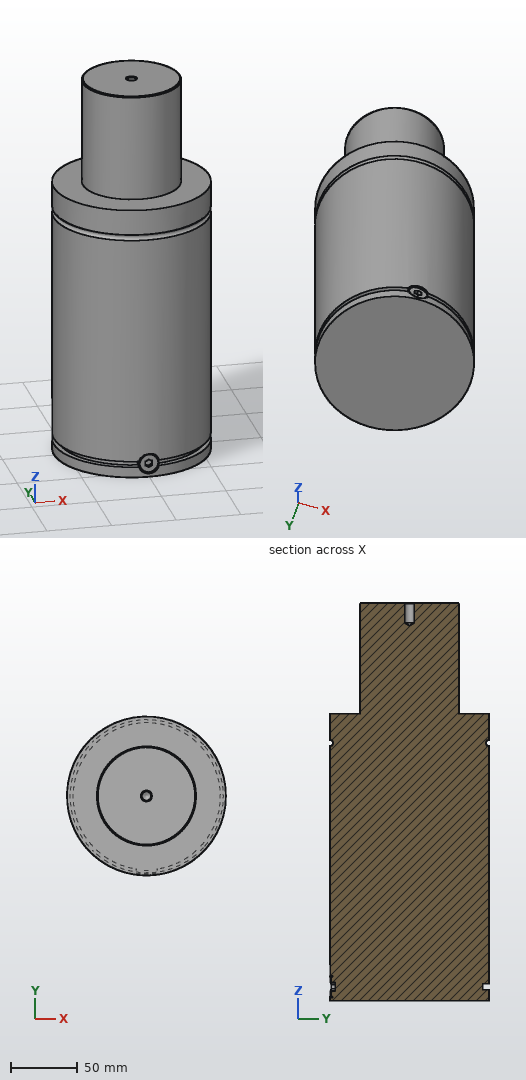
import cadquery as cq
import math

total_height = 300.0
body_diameter = 120.0
body_height = 216.5
rod_diameter = 75.0
rod_chamfer = 1.0

lower_groove_bottom = 8.5
groove_width = 4.5
lower_groove_depth = 4.5
upper_groove_center = 194.5

rod_hole_diameter = 7.0
rod_hole_mouth_diameter = 8.5
rod_hole_depth = 15.0
drill_point_angle = 118.0

plug_diameter = 16.0
plug_face_diameter = 14.0
plug_face_y = -59.0
plug_length = 9.0
plug_socket_across_flats = 5.5
plug_socket_depth = 3.0
plug_center_z = lower_groove_bottom + groove_width / 2

body_radius = body_diameter / 2


def make_body():
    """Cylinder with a square lower groove and a half-round upper groove."""
    groove_floor_radius = body_radius - lower_groove_depth
    lower_groove_top = lower_groove_bottom + groove_width
    round_radius = groove_width / 2
    return (
        cq.Workplane("XZ")
        .moveTo(0, 0)
        .lineTo(body_radius, 0)
        .lineTo(body_radius, lower_groove_bottom)
        .lineTo(groove_floor_radius, lower_groove_bottom)
        .lineTo(groove_floor_radius, lower_groove_top)
        .lineTo(body_radius, lower_groove_top)
        .lineTo(body_radius, upper_groove_center - round_radius)
        .threePointArc(
            (body_radius - round_radius, upper_groove_center),
            (body_radius, upper_groove_center + round_radius),
        )
        .lineTo(body_radius, body_height)
        .lineTo(0, body_height)
        .close()
        .revolve(360, (0, 0, 0), (0, 1, 0))
    )


def make_rod():
    """Piston rod standing on the body, chamfered at its free end."""
    return (
        cq.Workplane("XY", origin=(0, 0, body_height))
        .circle(rod_diameter / 2)
        .extrude(total_height - body_height)
        .faces(">Z")
        .edges()
        .chamfer(rod_chamfer)
    )


def make_rod_hole():
    """Blind hole with a countersunk mouth and a conical drill point."""
    hole_radius = rod_hole_diameter / 2
    mouth_radius = rod_hole_mouth_diameter / 2
    mouth_depth = mouth_radius - hole_radius
    point_depth = hole_radius / math.tan(math.radians(drill_point_angle / 2))
    hole_floor = total_height - rod_hole_depth
    return (
        cq.Workplane("XZ")
        .moveTo(0, total_height)
        .lineTo(mouth_radius, total_height)
        .lineTo(hole_radius, total_height - mouth_depth)
        .lineTo(hole_radius, hole_floor)
        .lineTo(0, hole_floor - point_depth)
        .close()
        .revolve(360, (0, 0, 0), (0, 1, 0))
    )


def plug_cylinder(length, start_y):
    """Cylinder on the plug axis, running from start_y toward +Y."""
    return (
        cq.Workplane("XZ", origin=(0, start_y, plug_center_z))
        .circle(plug_diameter / 2)
        .extrude(-length)
    )


def make_plug_socket():
    """Hexagonal socket in the plug face, with corners at top and bottom."""
    across_corners = plug_socket_across_flats / math.cos(math.pi / 6)
    return (
        cq.Workplane("XZ", origin=(0, plug_face_y, plug_center_z))
        .transformed(rotate=(0, 0, 90))
        .polygon(6, across_corners)
        .extrude(-plug_socket_depth)
    )


def add_plug(part):
    """Seat the chamfered plug, with its hexagonal socket, in a bore of the body."""
    chamfer = (plug_diameter - plug_face_diameter) / 2
    plug = plug_cylinder(plug_length, plug_face_y).faces("<Y").edges().chamfer(chamfer)
    socket = make_plug_socket()
    bore_end = plug_face_y + plug_length
    bore = plug_cylinder(bore_end + body_radius, -body_radius)
    return part.cut(bore).union(plug).cut(socket)


result = add_plug(make_body().union(make_rod()).cut(make_rod_hole()))